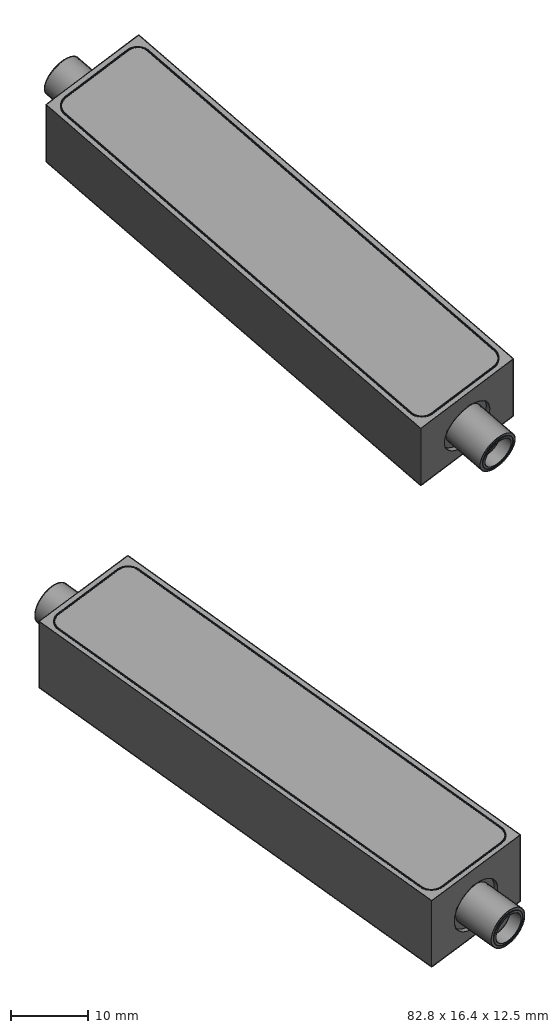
import cadquery as cq

total_length = 82.8
body_width = 16.4
body_height = 12.5
connector_length = 5.9
body_length = total_length - 2 * connector_length

axis_height = 5.5
barrel_diameter = 6.2
lip_diameter = 5.4
lip_length = 0.1
bore_diameter = 4.6
bore_depth = 2.0
pin_diameter = 0.5
pin_length = 0.4
seat_diameter = 8.0
seat_depth = 0.7

cover_margin = 0.75
cover_corner_radius = 2.0
gap_width = 0.125
gap_depth = 0.2


def cylinder_along_x(start, length, diameter):
    """Solid cylinder on the connector axis, running from start towards +X."""
    return (
        cq.Workplane("YZ", origin=(start, 0, axis_height))
        .circle(diameter / 2)
        .extrude(length)
    )


def cover_outline(inset):
    """Rounded block under the top face, inset from the body sides."""
    return (
        cq.Workplane("XY", origin=(0, 0, body_height - gap_depth))
        .rect(body_length - 2 * inset, body_width - 2 * inset)
        .extrude(gap_depth)
        .edges("|Z")
        .fillet(cover_corner_radius + cover_margin - inset)
    )


def make_body():
    """Box with the cover gap on top and a round recess around each connector."""
    body = cq.Workplane("XY").box(body_length, body_width, body_height, centered=(True, True, False))
    gap = cover_outline(cover_margin).cut(cover_outline(cover_margin + gap_width))
    seat = cylinder_along_x(-body_length / 2, seat_depth, seat_diameter)
    return body.cut(gap).cut(seat).cut(seat.mirror("YZ"))


def make_connector():
    """Barrel at the -X end with a raised lip, a blind bore and a centre pin."""
    tip = -total_length / 2
    lip = cylinder_along_x(tip, lip_length, lip_diameter)
    barrel_start = tip + lip_length
    barrel_length = connector_length + seat_depth - lip_length
    barrel = cylinder_along_x(barrel_start, barrel_length, barrel_diameter)
    bore = cylinder_along_x(tip, bore_depth, bore_diameter)
    pin = cylinder_along_x(tip + bore_depth - pin_length, pin_length, pin_diameter)
    return barrel.union(lip).cut(bore).union(pin)


connector = make_connector()
result = make_body().union(connector).union(connector.mirror("YZ"))